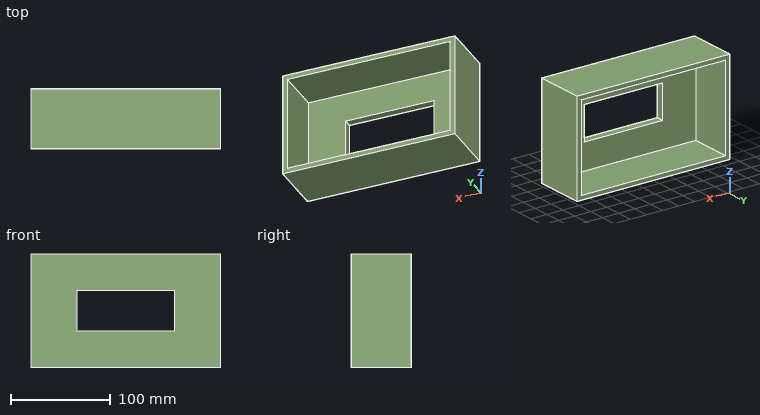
import cadquery as cq

length = 190.5
depth = 60.4
height = 114.3

side_wall = 5.3
front_wall = 9.5

window_length = 97.5
window_height = 40.5


def centred_block(size_x, size_y, size_z, front_y):
    """Block centred in X and Z, running back in +Y from front_y."""
    block = cq.Workplane("XY").box(size_x, size_y, size_z, centered=(True, False, True))
    return block.translate((0, front_y, 0))


front_y = -depth / 2
housing = centred_block(length, depth, height, front_y)

cavity = centred_block(
    length - 2 * side_wall,
    depth - front_wall,
    height - 2 * side_wall,
    front_y + front_wall,
)

window = centred_block(window_length, front_wall, window_height, front_y)

result = housing.cut(cavity).cut(window)